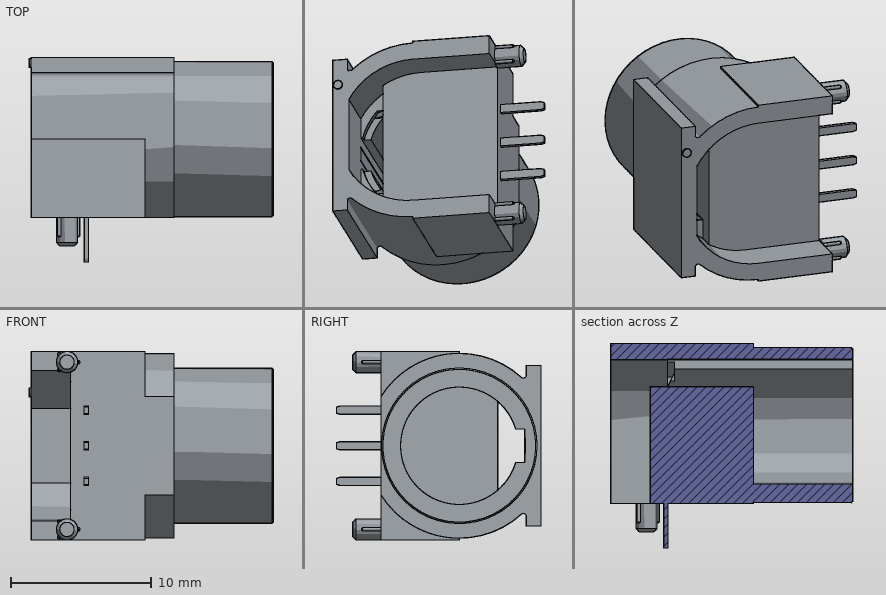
import cadquery as cq
import math


body_length = 10.22
body_radius = 6.6
box_length = 8.15
box_half_width = 6.73
mount_y = -5.59

flange_y = 5.84
flange_thickness = 1.07
flange_half_width = 5.73
flange_root_fillet = 0.2

barrel_diameter = 11.1
barrel_end_x = 17.29
barrel_end_chamfer = 0.1
bore_radius = 4.19

cavity_radius = 5.36
ceiling_y = 4.66
core_face_x = 2.82
core_top_y = 2.76
cavity_end_x = 4.08

key_half_width = 1.19
latch_width = 1.02
latch_depth = 0.06
recess_radius = 4.68
recess_half_width = math.sqrt(bore_radius**2 - core_top_y**2)
recess_floor_half_width = 2.77
recess_depth = 0.5

peg_diameter = 1.52
peg_tip_diameter = 1.02
peg_length = 2.03
peg_x = 2.57
peg_z = box_half_width - peg_diameter / 2
peg_tip_chamfer = (peg_diameter - peg_tip_diameter) / 2
rib_angles = (0, 135, 225)
rib_radius = 0.13
rib_offset = 0.79
rib_length = 1.4
rib_tip_chamfer = 0.1

tail_pitch = 2.54
tail_count = 3
tail_x = 3.95
tail_thickness = 0.32
tail_width = 0.6
tail_length = 3.18
tail_tip_length = 0.25
tail_tip_inset = 0.08

dot_diameter = 0.64
dot_height = 0.13
dot_y = 5.44
dot_z = 3.81


def box(x_min, x_max, y_min, y_max, half_width):
    """Block symmetric about Z = 0."""
    return cq.Workplane("XY").box(
        x_max - x_min, y_max - y_min, 2 * half_width, centered=(False, False, True)
    ).translate((x_min, y_min, 0))


def rod(radius, x_min, x_max):
    """Cylinder on the connector axis."""
    return cq.Workplane("YZ").workplane(offset=x_min).circle(radius).extrude(x_max - x_min)


def make_body():
    """Round-backed housing with a square lower part and the flange along its top."""
    flange_bottom_y = flange_y - flange_thickness
    body = rod(body_radius, 0, body_length)
    body = body.intersect(box(0, body_length, mount_y, flange_bottom_y, body_radius))
    body = body.union(box(0, box_length, mount_y, 0, box_half_width))
    body = body.union(box(0, body_length, flange_bottom_y, flange_y, flange_half_width))
    return body.union(make_flange_roots(flange_bottom_y))


def make_flange_roots(flange_bottom_y):
    """Concave fillets between the flange and the round back, one on each side."""
    center_distance = body_radius + flange_root_fillet
    center_y = flange_bottom_y - flange_root_fillet
    center_z = math.sqrt(center_distance**2 - center_y**2)
    tangent_y = center_y * body_radius / center_distance
    tangent_z = center_z * body_radius / center_distance
    back_angle = math.atan2(-center_z, -center_y)
    mid_angle = back_angle / 2
    mid_y = center_y + flange_root_fillet * math.cos(mid_angle)
    mid_z = center_z + flange_root_fillet * math.sin(mid_angle)
    inner_z = math.sqrt(body_radius**2 - flange_bottom_y**2)
    root = (
        cq.Workplane("YZ")
        .moveTo(flange_bottom_y, center_z)
        .threePointArc((mid_y, mid_z), (tangent_y, tangent_z))
        .lineTo(tangent_y, inner_z)
        .lineTo(flange_bottom_y, inner_z)
        .close()
        .extrude(body_length)
    )
    return root.union(root.mirror("XY"))


def make_barrel():
    barrel = rod(barrel_diameter / 2, body_length, barrel_end_x)
    return barrel.faces(">X").edges().chamfer(barrel_end_chamfer)


def make_rear_cavity():
    """Open cavity at the rear, deeper above the core than in front of it."""
    cavity = rod(cavity_radius, 0, cavity_end_x)
    cavity = cavity.union(box(0, cavity_end_x, mount_y, 0, cavity_radius))
    cavity = cavity.intersect(box(0, cavity_end_x, mount_y, ceiling_y, cavity_radius))
    return cavity.cut(box(core_face_x, cavity_end_x, mount_y, core_top_y, cavity_radius))


def make_bore():
    """Barrel bore, carried through the body above the core, with its key slot and latch groove."""
    bore = rod(bore_radius, cavity_end_x, barrel_end_x)
    bore = bore.union(box(cavity_end_x, barrel_end_x, core_top_y, ceiling_y, key_half_width))
    latch_top_y = ceiling_y + latch_depth
    bore = bore.union(box(cavity_end_x, barrel_end_x, core_top_y, latch_top_y, latch_width / 2))
    core = box(cavity_end_x, body_length, -bore_radius, core_top_y, bore_radius)
    return bore.cut(core)


def make_recess():
    """Shallow step round the bore at the cavity end, with ramped ends that run out at the core."""
    recess_end_x = cavity_end_x + recess_depth
    corner_y = math.sqrt(recess_radius**2 - recess_floor_half_width**2)
    ramp = (
        cq.Workplane("XY")
        .polyline([
            (cavity_end_x, core_top_y),
            (recess_end_x, corner_y),
            (recess_end_x, recess_radius),
            (cavity_end_x, recess_radius),
        ])
        .close()
        .extrude(recess_half_width, both=True)
    )
    floor = box(cavity_end_x, recess_end_x, core_top_y, recess_radius, recess_floor_half_width)
    return ramp.union(floor).intersect(rod(recess_radius, cavity_end_x, recess_end_x))


def make_post(radius, length, chamfer, x, z):
    """Chamfered round post standing on the mounting face and pointing toward -Y."""
    post = cq.Workplane("XZ").circle(radius).extrude(length)
    post = post.faces("<Y").edges().chamfer(chamfer)
    return post.translate((x, mount_y, z))


def make_peg(z):
    peg_radius = peg_diameter / 2
    peg = make_post(peg_radius, peg_length, peg_tip_chamfer, peg_x, z)
    for angle in rib_angles:
        rib_x = peg_x + rib_offset * math.cos(math.radians(angle))
        rib_z = z + rib_offset * math.sin(math.radians(angle))
        peg = peg.union(make_post(rib_radius, rib_length, rib_tip_chamfer, rib_x, rib_z))
    return peg


def make_tail(z):
    """Flat contact tail, its tip tapered in width."""
    half_width = tail_width / 2
    tip_half_width = half_width - tail_tip_inset
    tip_y = mount_y - tail_length
    taper_y = tip_y + tail_tip_length
    return (
        cq.Workplane("YZ")
        .polyline([
            (mount_y, half_width),
            (taper_y, half_width),
            (tip_y, tip_half_width),
            (tip_y, -tip_half_width),
            (taper_y, -half_width),
            (mount_y, -half_width),
        ])
        .close()
        .extrude(tail_thickness)
        .translate((tail_x - tail_thickness / 2, 0, z))
    )


def make_dot():
    dot = cq.Workplane("YZ").circle(dot_diameter / 2).extrude(-dot_height)
    return dot.translate((0, dot_y, dot_z))


result = make_body().union(make_barrel())
result = result.cut(make_rear_cavity()).cut(make_bore()).cut(make_recess())
for side in (-1, 1):
    result = result.union(make_peg(side * peg_z))
for index in range(tail_count):
    result = result.union(make_tail((index - (tail_count - 1) / 2) * tail_pitch))
result = result.union(make_dot())